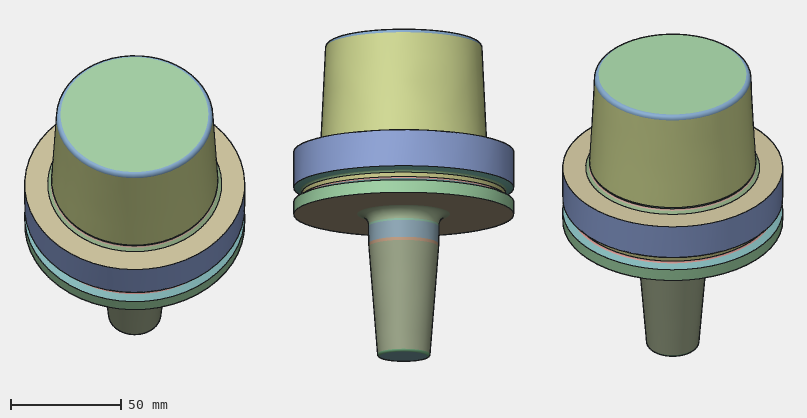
import cadquery as cq
import math

total_height = 144.9
flange_top = 94.9
flange_height = 29.0
flange_bottom = flange_top - flange_height

plug_top_radius = 35.5
plug_base_radius = 37.8
plug_top_round = 2.0
relief_radius = 37.5
relief_height = 1.7
plug_base_height = 2.6
plug_foot_round = 1.0
plug_foot_angle = 30.0

flange_radius = 50.0
groove_floor_radius = 46.2
groove_top = flange_top - 16.7
groove_bottom = flange_top - 23.2
groove_flank_angle = 22.5
groove_round = 1.0

shank_radius = 16.0
shank_collar_step = 0.07
shank_collar_radius = shank_radius + shank_collar_step
shank_collar_height = 0.9
shank_foot_round = 5.0
taper_start = flange_top - 42.7
taper_blend_height = 1.5
taper_angle = 4.5
tip_round = 1.2


def revolve_profile(profile):
    """Turn a closed (radius, height) outline about the Z axis."""
    return profile.close().revolve(360, (0, 0, 0), (0, 1, 0))


def make_plug():
    relief_level = flange_top + relief_height
    foot_slope = math.radians(plug_foot_angle)
    cone_height = relief_height - plug_foot_round * math.cos(foot_slope)
    cone_top_radius = relief_radius + plug_foot_round * (1 - math.sin(foot_slope))
    foot_radius = cone_top_radius + cone_height / math.tan(foot_slope)
    profile = (
        cq.Workplane("XZ")
        .moveTo(0, flange_top)
        .lineTo(foot_radius, flange_top)
        .lineTo(cone_top_radius, flange_top + cone_height)
        .radiusArc((relief_radius, relief_level), plug_foot_round)
        .lineTo(plug_base_radius, flange_top + plug_base_height)
        .lineTo(plug_top_radius, total_height)
        .lineTo(0, total_height)
    )
    return revolve_profile(profile).faces(">Z").edges().fillet(plug_top_round)


def make_flange():
    flange = (
        cq.Workplane("XY")
        .workplane(offset=flange_bottom)
        .circle(flange_radius)
        .extrude(flange_height)
    )
    flank_drop = (flange_radius - groove_floor_radius) * math.tan(math.radians(groove_flank_angle))
    profile = (
        cq.Workplane("XZ")
        .moveTo(flange_radius, groove_top)
        .lineTo(groove_floor_radius, groove_top - flank_drop)
        .lineTo(groove_floor_radius, groove_bottom + flank_drop)
        .lineTo(flange_radius, groove_bottom)
    )
    floor_edges = cq.selectors.RadiusNthSelector(0)
    groove = revolve_profile(profile).edges(floor_edges).fillet(groove_round)
    return flange.cut(groove)


def make_shank():
    collar_top = flange_bottom - shank_foot_round
    blend_radius = taper_blend_height / math.sin(math.radians(taper_angle))
    blend_end = taper_start - taper_blend_height
    blend_end_radius = shank_radius - blend_radius * (1 - math.cos(math.radians(taper_angle)))
    tip_radius = blend_end_radius - blend_end * math.tan(math.radians(taper_angle))
    profile = (
        cq.Workplane("XZ")
        .moveTo(0, flange_bottom)
        .lineTo(shank_collar_radius + shank_foot_round, flange_bottom)
        .radiusArc((shank_collar_radius, collar_top), -shank_foot_round)
        .lineTo(shank_radius, collar_top - shank_collar_height)
        .lineTo(shank_radius, taper_start)
        .radiusArc((blend_end_radius, blend_end), blend_radius)
        .lineTo(tip_radius, 0)
        .lineTo(0, 0)
    )
    return revolve_profile(profile).faces("<Z").edges().fillet(tip_round)


result = make_flange().union(make_plug()).union(make_shank())